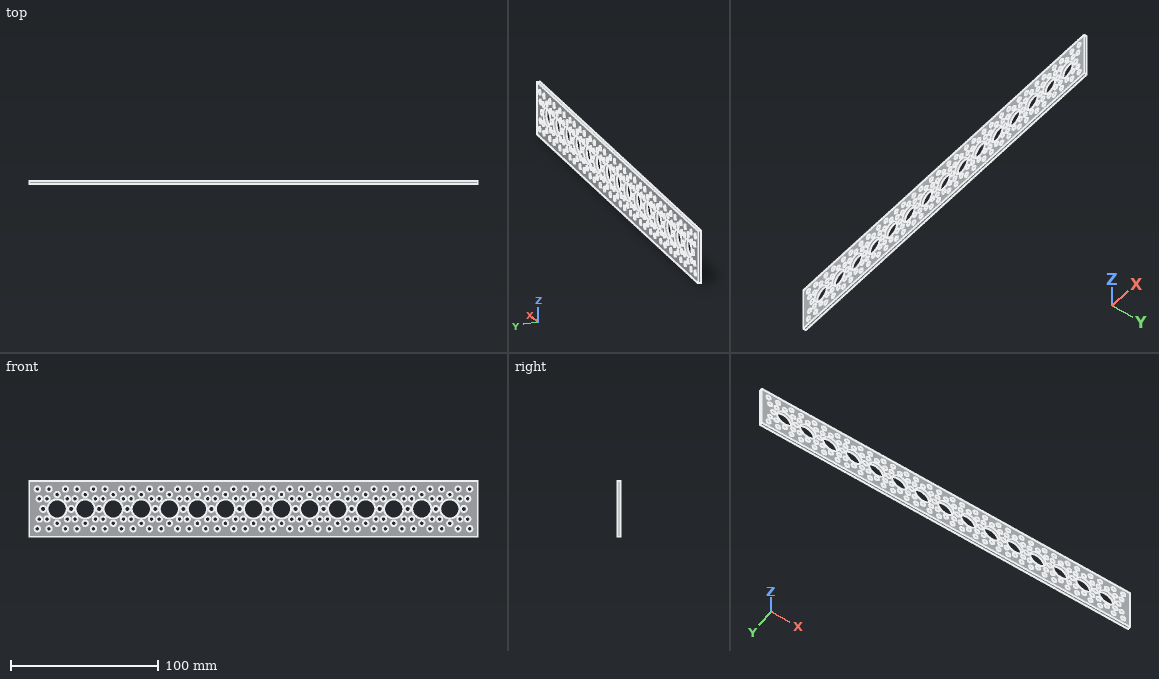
import cadquery as cq
import math

length = 304.8
height = length / 8
thickness = 2.3

pitch = length / 16
bore_count = 15
bore_radius = 6.5

screw_radius = 1.77
shared_screw_radius = 1.98

hub_overlap = 0.52
hub_radius = (pitch + hub_overlap) / 2
hub_diagonal = hub_radius * math.cos(math.radians(45))

wide_radius = pitch
wide_diagonal = wide_radius * math.cos(math.radians(45))


def square_corners(center_x, offset):
    """Four points on the diagonals around a station, as (x, z)."""
    return [(center_x + sx * offset, sz * offset) for sx in (-1, 1) for sz in (-1, 1)]


def drill(plate, points, radius):
    """Cut round through holes at the (x, z) points of the plate face."""
    cutters = cq.Workplane("XZ").pushPoints(points).circle(radius).extrude(thickness, both=True)
    return plate.cut(cutters)


bore_stations = [(i - (bore_count - 1) / 2) * pitch for i in range(bore_count)]
end_stations = [-length / 2, length / 2]
bore_points = [(x, 0) for x in bore_stations]

diagonal_points = []
for station in bore_stations + end_stations:
    diagonal_points += square_corners(station, hub_diagonal)
    diagonal_points += square_corners(station, wide_diagonal)
diagonal_points = [(x, z) for x, z in diagonal_points if abs(x) < length / 2]

vertical_points = [(x, sz * hub_radius) for x in bore_stations for sz in (-1, 1)]

shared_points = [((i - bore_count / 2) * pitch, 0) for i in range(bore_count + 1)]

result = cq.Workplane("XY").box(length, thickness, height)
result = drill(result, bore_points, bore_radius)
result = drill(result, diagonal_points + vertical_points, screw_radius)
result = drill(result, shared_points, shared_screw_radius)